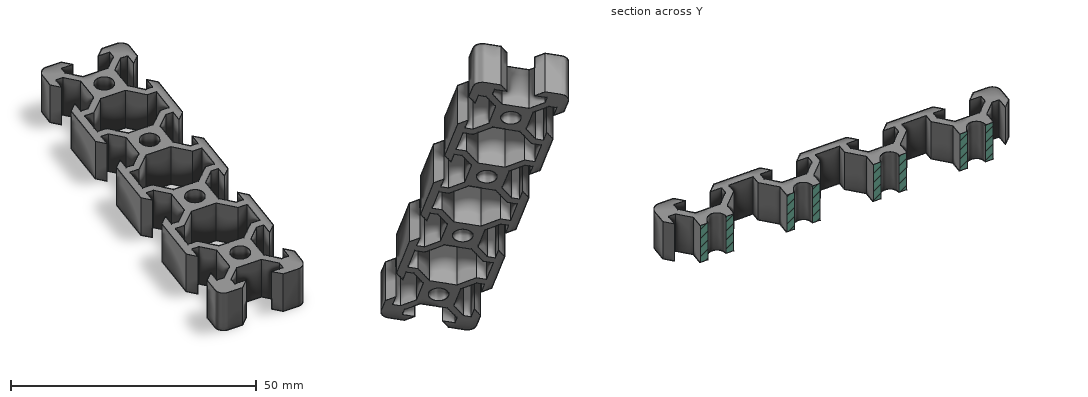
import cadquery as cq
import math

cell = 20.0
cell_count = 4
height = 10.0
corner_radius = 2.0
bore_diameter = 4.2

half_cell = cell / 2
core_half_width = 3.9
web_thickness = 1.5
lip_thickness = 1.8
mouth_half_width = 4.6
slot_half_width = 5.5
cavity_half_width = 2.8

web_offset = web_thickness / math.sqrt(2)
floor_half_width = core_half_width - web_offset
lip_inner_level = half_cell - lip_thickness
throat_half_width = mouth_half_width - lip_thickness

length = cell * cell_count
cell_centres = [(i - (cell_count - 1) / 2) * cell for i in range(cell_count)]
cavity_centres = [x + half_cell for x in cell_centres[:-1]]


def slot_cutter(centre_x, angle):
    """V-mouthed T-slot of one cell, opening toward +Y before turning about the cell centre."""
    right_side = [
        (floor_half_width, core_half_width),
        (slot_half_width, slot_half_width + web_offset),
        (slot_half_width, lip_inner_level),
        (throat_half_width, lip_inner_level),
        (mouth_half_width, half_cell),
    ]
    left_side = [(-x, y) for x, y in reversed(right_side)]
    cutter = cq.Workplane("XY").polyline(right_side + left_side).close().extrude(height)
    return cutter.rotate((0, 0, 0), (0, 0, 1), angle).translate((centre_x, 0, 0))


def cavity_cutter(centre_x):
    """Octagonal cavity with squared-off ends between two neighbouring cells."""
    core_face = half_cell - core_half_width
    shoulder_level = half_cell - cavity_half_width - web_offset
    upper_half = [
        (core_face, floor_half_width),
        (cavity_half_width, shoulder_level),
        (cavity_half_width, lip_inner_level),
        (-cavity_half_width, lip_inner_level),
        (-cavity_half_width, shoulder_level),
        (-core_face, floor_half_width),
    ]
    lower_half = [(-x, -y) for x, y in upper_half]
    cutter = cq.Workplane("XY").polyline(upper_half + lower_half).close().extrude(height)
    return cutter.translate((centre_x, 0, 0))


result = (
    cq.Workplane("XY")
    .box(length, cell, height, centered=(True, True, False))
    .edges("|Z")
    .fillet(corner_radius)
)

for x in cell_centres:
    for angle in (0, 180):
        result = result.cut(slot_cutter(x, angle))

result = result.cut(slot_cutter(cell_centres[0], 90))
result = result.cut(slot_cutter(cell_centres[-1], -90))

for x in cavity_centres:
    result = result.cut(cavity_cutter(x))

bores = (
    cq.Workplane("XY")
    .pushPoints([(x, 0) for x in cell_centres])
    .circle(bore_diameter / 2)
    .extrude(height)
)
result = result.cut(bores)